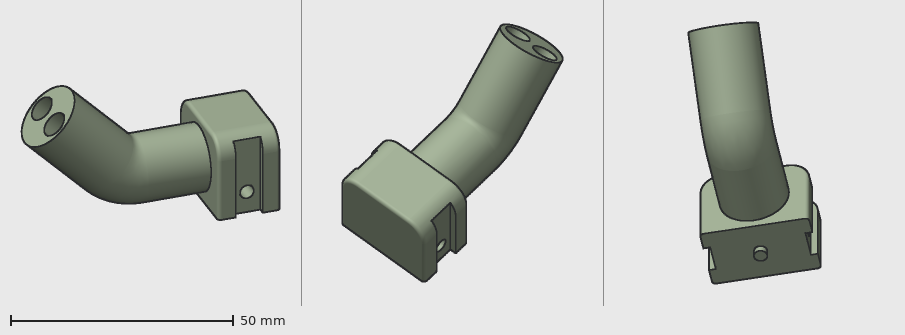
import cadquery as cq
import math

block_width = 25.0
block_depth = 15.0
block_height = 20.0
shoulder_radius = 5.0
edge_radius = 0.9

groove_width = 6.5
groove_depth = 1.6
cross_hole_diameter = 3.3
cross_hole_height = 5.2
pin_diameter = 3.0
pin_length = 1.65

tube_diameter = 16.0
tube_height = block_height / 2
neck_length = 15.0
bend_radius = 10.0
bend_angle = 45.0
arm_length = 19.95

bore_diameter = 6.0
bore_spacing = 8.0
bore_depth = arm_length

front_y = -block_depth / 2
bend_start_y = front_y - neck_length


def make_block():
    """Block with round shoulders, rounded rims and a sharp base."""
    body = cq.Workplane("XY").box(
        block_width, block_depth, block_height, centered=(True, True, False)
    )
    body = body.faces(">Z").edges("|Y").fillet(shoulder_radius)
    rims = body.faces("<Y or >Y").edges("not <Z")
    return rims.fillet(edge_radius)


def make_groove(side):
    """Full-height groove in the side facing side * X."""
    return cq.Workplane("XY").box(
        2 * groove_depth, groove_width, block_height, centered=(True, True, False)
    ).translate((side * block_width / 2, 0, 0))


def make_cross_hole():
    """Hole along X from groove to groove."""
    return (
        cq.Workplane("YZ")
        .center(0, cross_hole_height)
        .circle(cross_hole_diameter / 2)
        .extrude(block_width / 2, both=True)
    )


def make_pin():
    return cq.Workplane("XY").circle(pin_diameter / 2).extrude(-pin_length)


def arm_plane():
    """Plane at the start of the arm, with its normal along the arm axis."""
    angle = math.radians(bend_angle)
    origin = (
        0,
        bend_start_y - bend_radius * math.sin(angle),
        tube_height + bend_radius * (1 - math.cos(angle)),
    )
    axis = (0, -math.cos(angle), math.sin(angle))
    return cq.Plane(origin=origin, xDir=(1, 0, 0), normal=axis)


def make_tube():
    """Straight neck, round elbow and straight arm rising from the elbow."""
    neck = (
        cq.Workplane("XZ", origin=(0, front_y, tube_height))
        .circle(tube_diameter / 2)
        .extrude(neck_length)
    )
    elbow = (
        cq.Workplane("XZ", origin=(0, bend_start_y, tube_height))
        .circle(tube_diameter / 2)
        .revolve(bend_angle, (0.55, bend_radius), (-0.55, bend_radius))
    )
    arm = cq.Workplane(arm_plane()).circle(tube_diameter / 2).extrude(arm_length)
    return neck.union(elbow).union(arm)


def make_bores():
    """Two side-by-side bores from the end face down the straight arm."""
    return (
        cq.Workplane(arm_plane())
        .workplane(offset=arm_length)
        .pushPoints([(-bore_spacing / 2, 0), (bore_spacing / 2, 0)])
        .circle(bore_diameter / 2)
        .extrude(-bore_depth)
    )


block = make_block()
for side in (-1, 1):
    block = block.cut(make_groove(side))
block = block.cut(make_cross_hole())

result = block.union(make_pin()).union(make_tube()).cut(make_bores())